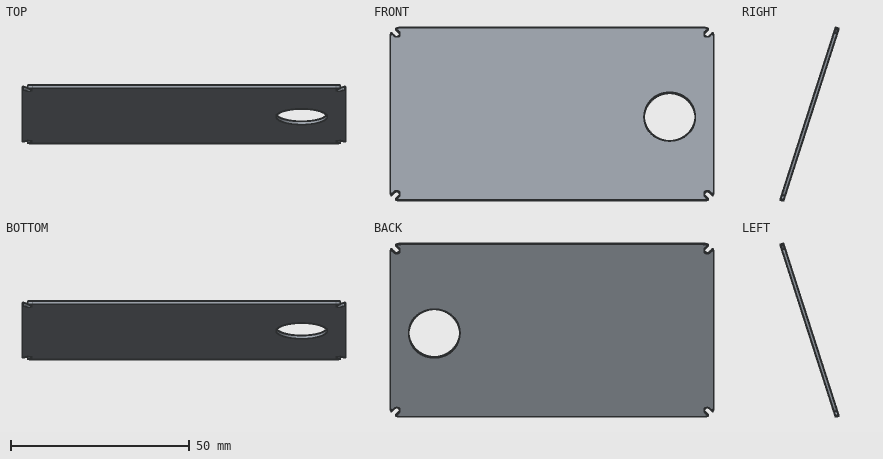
import cadquery as cq

plate_width = 90.8
plate_height = 50.8
plate_thickness = 1.0
corner_radius = 2.9
back_face_y = plate_thickness / 2

lean_angle = 17.82

opening_diameter = 14.3
opening_from_right_edge = 12.4
opening_below_center = 0.85

corner_slot_width = 1.75
corner_slot_inset = 1.85


def make_plate():
    """Upright plate centred on the origin, with rounded corners."""
    return (
        cq.Workplane("XY")
        .box(plate_width, plate_thickness, plate_height)
        .edges("|Y")
        .fillet(corner_radius)
    )


def make_opening():
    """Cutter for the round opening."""
    center_x = plate_width / 2 - opening_from_right_edge
    return (
        cq.Workplane("XZ", origin=(center_x, back_face_y, -opening_below_center))
        .circle(opening_diameter / 2)
        .extrude(plate_thickness)
    )


def make_corner_slot(side_x, side_z):
    """Cutter for one corner; side_x and side_z (+1 or -1) choose the corner."""
    center_x = side_x * (plate_width / 2 - corner_slot_inset)
    center_z = side_z * (plate_height / 2 - corner_slot_inset)
    slot_length = 2 * corner_slot_inset
    slot_angle = 45 if side_x == side_z else -45
    slot_plane = cq.Workplane("XZ", origin=(center_x, back_face_y, center_z))
    round_end = slot_plane.circle(corner_slot_width / 2).extrude(plate_thickness)
    straight_part = (
        slot_plane.transformed(rotate=(0, 0, slot_angle))
        .center(side_x * slot_length / 2, 0)
        .rect(slot_length, corner_slot_width)
        .extrude(plate_thickness)
    )
    return round_end.union(straight_part)


plate = make_plate().cut(make_opening())
for side_x in (-1, 1):
    for side_z in (-1, 1):
        plate = plate.cut(make_corner_slot(side_x, side_z))

result = plate.rotate((0, 0, 0), (1, 0, 0), -lean_angle)